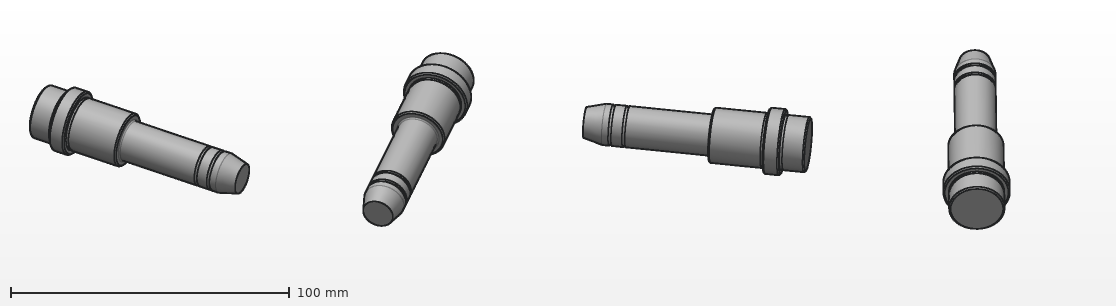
import cadquery as cq
import math

length = 81.0
body_radius = 20.0 / 2
flange_radius = 24.0 / 2
shaft_radius = 15.0 / 2

flange_start = 9.0
flange_end = 15.0
body_end = 35.0

edge_chamfer = 0.6
root_fillet = 0.5

relief_width = 1.0
relief_depth = 0.3
shaft_groove_width = 1.05
shaft_groove_depth = 0.5
first_groove_center = 66.0
groove_spacing = 5.0
groove_count = 2

taper_length = 7.0
taper_angle = 15.0
taper_start = length - taper_length
tip_radius = shaft_radius - taper_length * math.tan(math.radians(taper_angle))


def add_groove(outline, center, radius, width, depth):
    """Continue the outline at the given radius with a concave arc groove."""
    return outline.lineTo(center - width / 2, radius).threePointArc(
        (center, radius - depth), (center + width / 2, radius)
    )


outline = cq.Workplane("XY").lineTo(0, body_radius - edge_chamfer).lineTo(edge_chamfer, body_radius)
outline = add_groove(outline, flange_start - relief_width / 2, body_radius, relief_width, relief_depth)

outline = (
    outline.lineTo(flange_start, flange_radius - edge_chamfer)
    .lineTo(flange_start + edge_chamfer, flange_radius)
    .lineTo(flange_end - edge_chamfer, flange_radius)
    .lineTo(flange_end, flange_radius - edge_chamfer)
    .lineTo(flange_end, body_radius)
)

outline = outline.threePointArc(
    (flange_end + relief_width / 2, body_radius - relief_depth),
    (flange_end + relief_width, body_radius),
)
outline = (
    outline.lineTo(body_end - edge_chamfer, body_radius)
    .lineTo(body_end, body_radius - edge_chamfer)
    .lineTo(body_end, shaft_radius + root_fillet)
    .radiusArc((body_end + root_fillet, shaft_radius), -root_fillet)
)

for index in range(groove_count):
    groove_center = first_groove_center + index * groove_spacing
    outline = add_groove(outline, groove_center, shaft_radius, shaft_groove_width, shaft_groove_depth)
outline = outline.lineTo(taper_start, shaft_radius).lineTo(length, tip_radius).lineTo(length, 0).close()

result = outline.revolve(360, (0, 0, 0), (1, 0, 0)).translate((-length / 2, 0, 0))